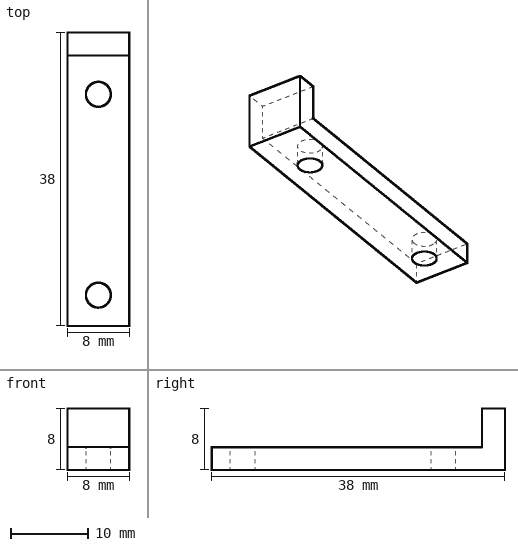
import cadquery as cq

width = 8.0
length = 38.0
height = 8.0
thickness = 3.0

hole_diameter = 3.2
front_hole_y = 4.0
hole_spacing = 26.0


def make_body():
    """Flat base with an upright lip at its back end."""
    base = cq.Workplane("XY").box(width, length, thickness, centered=(True, False, False))
    lip = (
        cq.Workplane("XY")
        .box(width, thickness, height, centered=(True, False, False))
        .translate((0, length - thickness, 0))
    )
    return base.union(lip)


def make_holes():
    """Cylinders that cut the holes through the base."""
    hole_centres = [(0, front_hole_y), (0, front_hole_y + hole_spacing)]
    return (
        cq.Workplane("XY")
        .pushPoints(hole_centres)
        .circle(hole_diameter / 2)
        .extrude(thickness)
    )


result = make_body().cut(make_holes())